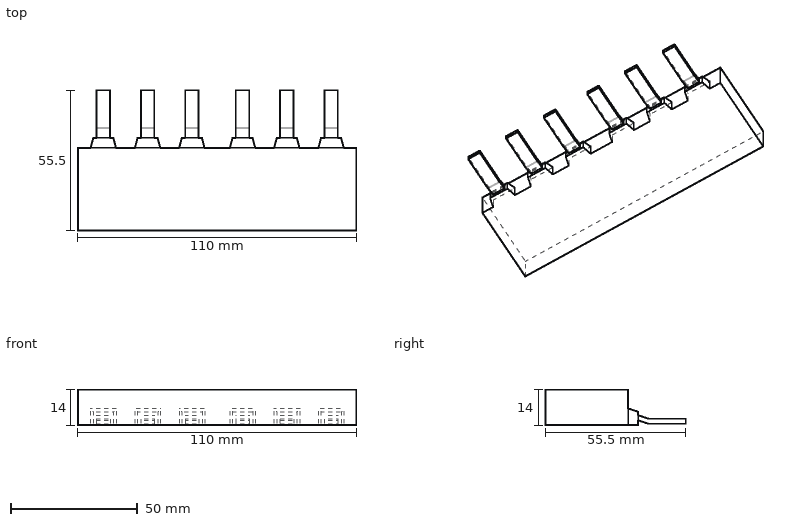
import cadquery as cq
import math

body_length = 110.0
total_depth = 55.5
body_height = 14.0
body_depth = 32.7

socket_length = 4.0
socket_base_width = 10.1
socket_tip_width = 8.0
socket_base_height = 6.6
socket_tip_height = 5.3

pin_width = 5.4
pin_thickness = 2.1
pin_clearance = 0.4
bend_distance = 4.1
bend_angle = 19.0
bend_radius = 1.0

pins_per_group = 3
pin_pitch = 17.5
group_gap = 20.0

socket_start = body_depth
socket_end = socket_start + socket_length


def make_body():
    return cq.Workplane("XY").box(body_length, body_depth, body_height, centered=(True, False, False))


def make_socket():
    """Socket tapering in width and height away from the body, with a level underside."""
    plan = (
        cq.Workplane("XY")
        .moveTo(-socket_base_width / 2, socket_start)
        .lineTo(socket_base_width / 2, socket_start)
        .lineTo(socket_tip_width / 2, socket_end)
        .lineTo(-socket_tip_width / 2, socket_end)
        .close()
        .extrude(socket_base_height)
    )
    profile = (
        cq.Workplane("YZ")
        .moveTo(socket_start, 0)
        .lineTo(socket_end, 0)
        .lineTo(socket_end, socket_tip_height)
        .lineTo(socket_start, socket_base_height)
        .close()
        .extrude(socket_base_width / 2, both=True)
    )
    return plan.intersect(profile)


def make_pin():
    """Strip with a sloping root and a level tail, equally thick in Z along its whole length."""
    bend_start = socket_end + bend_distance
    tail_top = pin_clearance + pin_thickness
    root_rise = bend_distance * math.tan(math.radians(bend_angle))
    strip = (
        cq.Workplane("YZ")
        .moveTo(socket_end, pin_clearance + root_rise)
        .lineTo(bend_start, pin_clearance)
        .lineTo(total_depth, pin_clearance)
        .lineTo(total_depth, tail_top)
        .lineTo(bend_start, tail_top)
        .lineTo(socket_end, tail_top + root_rise)
        .close()
        .extrude(pin_width / 2, both=True)
    )
    upper_bend = cq.selectors.NearestToPointSelector((0, bend_start, tail_top))
    lower_bend = cq.selectors.NearestToPointSelector((0, bend_start, pin_clearance))
    return strip.edges(upper_bend).fillet(bend_radius).edges(lower_bend).fillet(bend_radius)


terminal = make_socket().union(make_pin())
result = make_body()
for side in (-1, 1):
    for index in range(pins_per_group):
        pin_x = side * (group_gap / 2 + index * pin_pitch)
        result = result.union(terminal.translate((pin_x, 0, 0)))